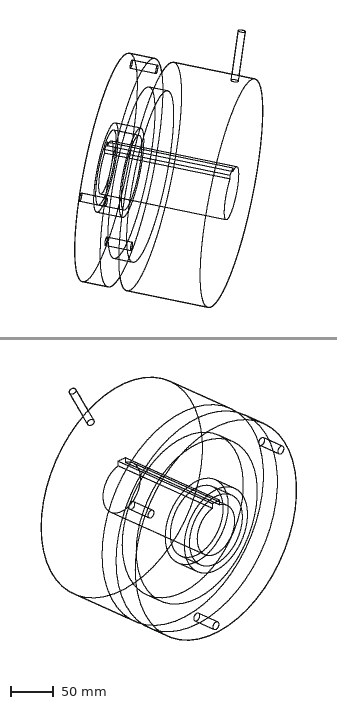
import cadquery as cq
import math

body_diameter = 273.0
body_radius = body_diameter / 2
total_length = 152.3
flange_thickness = 31.0
gap_width = 22.5
gap_radius = 102.5

bore_radius = 31.5
key_width = 12.0
key_top = 37.2
hub_radius = 44.7
recess_radius = 53.5
recess_depth = 31.0

hole_count = 3
hole_radius = 5.0
hole_circle_radius = 127.0
hole_depth = flange_thickness

overall_height = 310.2
lever_radius = 4.3
lever_x = 137.0
lever_tilt = 30.0
lever_start_radius = body_radius - 12.5


def disc(radius, start, length):
    """Solid cylinder on the X axis."""
    return cq.Workplane("YZ", origin=(start, 0, 0)).circle(radius).extrude(length)


def make_body():
    flange = disc(body_radius, 0, flange_thickness)
    core = disc(gap_radius, 0, total_length)
    housing_start = flange_thickness + gap_width
    housing = disc(body_radius, housing_start, total_length - housing_start)
    return flange.union(core).union(housing)


def make_keyed_bore():
    key = (
        cq.Workplane("YZ")
        .center(0, key_top / 2)
        .rect(key_width, key_top)
        .extrude(total_length)
    )
    return disc(bore_radius, 0, total_length).union(key)


def make_hub_recess():
    return disc(recess_radius, 0, recess_depth).cut(disc(hub_radius, 0, recess_depth))


def make_flange_holes():
    return (
        cq.Workplane("YZ")
        .polarArray(hole_circle_radius, -90, 360, hole_count)
        .circle(hole_radius)
        .extrude(hole_depth)
    )


def make_lever():
    tilt = math.radians(lever_tilt)
    top_z = overall_height - body_radius
    end_radius = (top_z - lever_radius * math.sin(tilt)) / math.cos(tilt)
    axis = cq.Vector(0, math.sin(tilt), math.cos(tilt))
    start = cq.Vector(lever_x, 0, 0) + axis * lever_start_radius
    rod = cq.Solid.makeCylinder(lever_radius, end_radius - lever_start_radius, start, axis)
    return cq.Workplane(rod)


result = (
    make_body()
    .cut(make_keyed_bore())
    .cut(make_hub_recess())
    .cut(make_flange_holes())
    .union(make_lever())
)